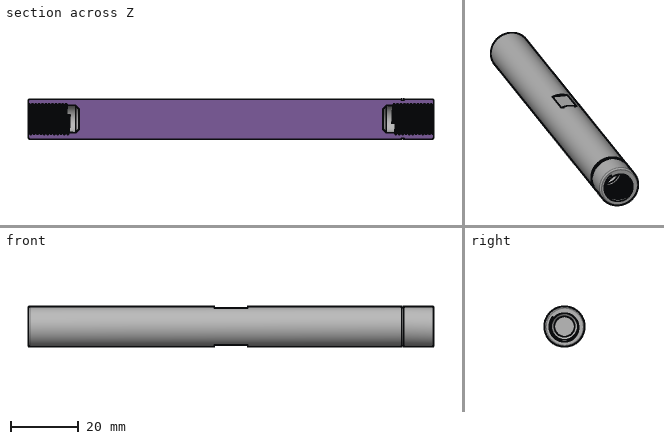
import cadquery as cq
import math

rod_length = 120.0
rod_radius = 6.0
end_fillet = 0.5

flat_length = 9.8
flat_to_flat = 11.0

ring_groove_width = 0.6
ring_groove_depth = 0.3
ring_groove_from_end = 8.9

bore_radius = 4.0
floor_radius = 3.0
hole_depth = 15.0
thread_radius = 4.5
thread_pitch = 1.0
thread_length = 12.0
root_width = thread_pitch / 8
flank_angle = 30
thread_inner_radius = bore_radius - 0.1


def wrench_flat_cutter():
    """Material outside the two flats, which face +X and -X on the upright rod."""
    size = 2 * rod_radius
    block = cq.Workplane("XY").box(size, size, flat_length)
    core = cq.Workplane("XY").box(flat_to_flat, size, flat_length)
    return block.cut(core)


def ring_groove_cutter():
    """Ring that cuts the groove around the upper end of the upright rod."""
    groove_start = rod_length / 2 - ring_groove_from_end - ring_groove_width
    return (
        cq.Workplane("XY", origin=(0, 0, groove_start))
        .circle(rod_radius + ring_groove_depth)
        .circle(rod_radius - ring_groove_depth)
        .extrude(ring_groove_width)
    )


def hole_cutter():
    """Blind bore running along +Z from the origin, with a 45 degree cone down to its floor."""
    cone_start = hole_depth - (bore_radius - floor_radius)
    return (
        cq.Workplane("XZ")
        .polyline([
            (0, 0),
            (bore_radius, 0),
            (bore_radius, cone_start),
            (floor_radius, hole_depth),
            (0, hole_depth),
        ])
        .close()
        .revolve(360, (0, 0, 0), (0, 1, 0))
    )


def thread_cutter():
    """Helical groove along +Z, starting one pitch before the origin so that it runs out of the end face."""
    helix = cq.Wire.makeHelix(thread_pitch, thread_length + thread_pitch, thread_radius)
    flank_width = (thread_radius - thread_inner_radius) * math.tan(math.radians(flank_angle))
    half_mouth = root_width / 2 + flank_width
    return (
        cq.Workplane("XZ")
        .polyline([
            (thread_inner_radius, -half_mouth),
            (thread_radius, -root_width / 2),
            (thread_radius, root_width / 2),
            (thread_inner_radius, half_mouth),
        ])
        .close()
        .sweep(cq.Workplane(helix), isFrenet=True)
        .translate((0, 0, -thread_pitch))
    )


rod = cq.Workplane("XY").circle(rod_radius).extrude(rod_length / 2, both=True)
rod = rod.faces("<Z or >Z").edges().fillet(end_fillet)
rod = rod.cut(wrench_flat_cutter()).cut(ring_groove_cutter())

for cutter in (hole_cutter(), thread_cutter()):
    lower_cutter = cutter.translate((0, 0, -rod_length / 2))
    upper_cutter = lower_cutter.rotate((0, 0, 0), (1, 0, 0), 180)
    rod = rod.cut(lower_cutter).cut(upper_cutter)

result = rod.rotate((0, 0, 0), (0, 1, 0), 90)